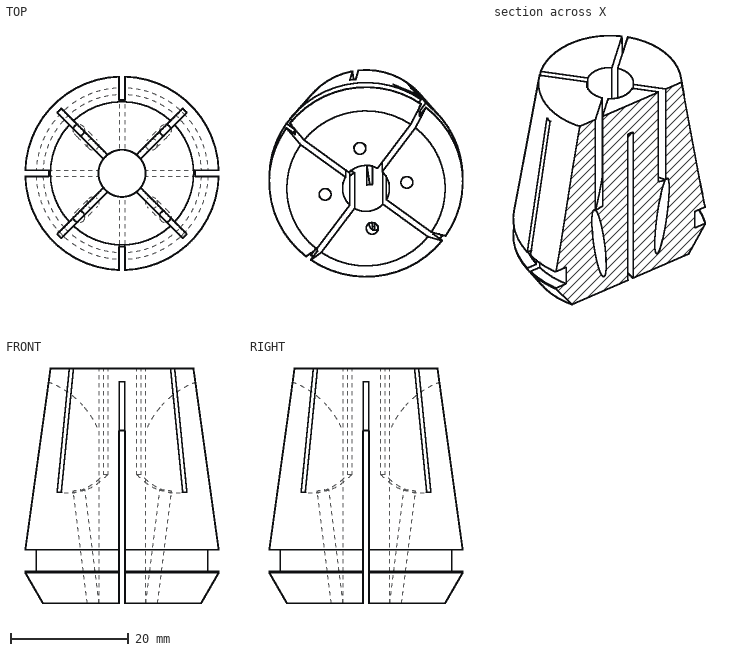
import cadquery as cq
import math

height = 40.0
outer_diameter = 33.0
outer_radius = outer_diameter / 2
top_radius = 12.2
bore_radius = 4.0
cone_base_z = 9.1
groove_radius = 14.65
collar_top_z = 5.45
collar_land = 0.25
collar_angle = 30.0

slot_width = 1.0
saw_radius = 15.0
slots_per_end = 4
slot_spacing = 360 / slots_per_end
lower_saw_distance = 17.9
lower_saw_z = 23.7
upper_saw_distance = 13.2
upper_saw_z = 33.8
saw_travel = height

hole_diameter = 2.0
hole_distance = 10.4
hole_tilt = 10.0


def turned_body():
    collar_land_z = collar_top_z - collar_land
    bottom_radius = outer_radius - collar_land_z * math.tan(math.radians(collar_angle))
    half_section = [
        (bore_radius, 0),
        (bottom_radius, 0),
        (outer_radius, collar_land_z),
        (outer_radius, collar_top_z),
        (groove_radius, collar_top_z),
        (groove_radius, cone_base_z),
        (outer_radius, cone_base_z),
        (top_radius, height),
        (bore_radius, height),
    ]
    body = cq.Workplane("XZ").polyline(half_section).close().revolve(360, (0, 0), (0, 1))
    return body.rotate((0, 0, 0), (0, 0, 1), slot_spacing / 4)


def saw_cut(distance, stop_z, feed):
    """Radial slot along +X: a disc stopped at stop_z plus its travel in the feed direction."""
    disc = (
        cq.Workplane("XZ")
        .center(distance, stop_z)
        .circle(saw_radius)
        .extrude(slot_width / 2, both=True)
    )
    travel = (
        cq.Workplane("XZ")
        .center(distance, stop_z + feed * saw_travel / 2)
        .rect(2 * saw_radius, saw_travel)
        .extrude(slot_width / 2, both=True)
    )
    reach = distance + saw_radius
    full_sweep = 2 * (height + saw_travel)
    one_side = cq.Workplane("XY").box(reach, slot_width, full_sweep, centered=(False, True, True))
    return disc.union(travel).intersect(one_side)


def floor_hole():
    """Tilted hole whose mouth lies on the curved floor of an upper slot along +X."""
    offset = hole_distance - upper_saw_distance
    floor_z = upper_saw_z - math.sqrt(saw_radius**2 - offset**2)
    mouth = cq.Vector(hole_distance, 0, floor_z)
    tilt = math.radians(hole_tilt)
    direction = cq.Vector(-math.sin(tilt), 0, -math.cos(tilt))
    lead_in = hole_diameter / 2 * math.tan(tilt)
    start = mouth - direction * lead_in
    drill = cq.Solid.makeCylinder(hole_diameter / 2, height, start, direction)
    return cq.Workplane(drill)


def cut_around(body, cutter, first_angle):
    for index in range(slots_per_end):
        angle = first_angle + index * slot_spacing
        body = body.cut(cutter.rotate((0, 0, 0), (0, 0, 1), angle))
    return body


lower_slot = saw_cut(lower_saw_distance, lower_saw_z, feed=-1)
upper_slot = saw_cut(upper_saw_distance, upper_saw_z, feed=1)

result = turned_body()
result = cut_around(result, lower_slot, 0)
result = cut_around(result, upper_slot, slot_spacing / 2)
result = cut_around(result, floor_hole(), slot_spacing / 2)